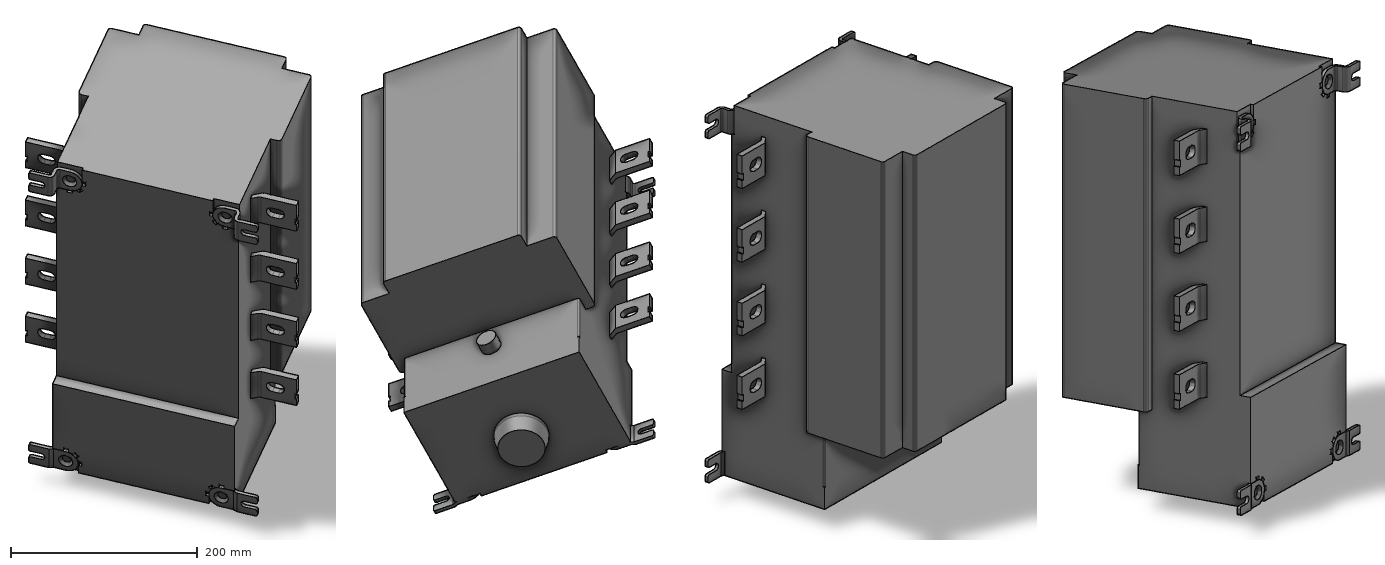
import cadquery as cq
import math


overall_width = 306.0
overall_depth = 246.5
overall_height = 469.0
knob_height = 23.5
housing_height = overall_height - knob_height

core_half_width = 102.5
wing_half_width = 114.5
crown_half_width = 80.5
core_front_y = 15.5
wing_front_y = 124.0
wing_back_y = 229.5
wing_bottom_z = 92.0
base_front_y = 2.5
base_back_y = 141.0
base_top_z = 125.5
cover_height = 26.5
wing_front_radius = 4.0
rear_edge_radius = 3.5
base_edge_radius = 2.0

terminal_thickness = 7.0
terminal_height = 39.0
terminal_front_y = 61.5
terminal_bend_x = 111.0
terminal_bend_angle = 33
terminal_bend_radius = 5.5
terminal_embed = 4.5
terminal_count = 4
terminal_pitch = 87.95
first_terminal_z = 136.5
terminal_slot_x = 129.0
terminal_slot_length = 20.0
terminal_slot_height = 13.5
notch_depth = 2.0
notch_height = 7.5
notch_drop = 6.0

foot_thickness = 4.0
foot_width = 28.0
foot_stand_proud = 0.5
foot_end_x = 129.0
foot_corner_radius = 2.5
foot_slot_end_x = 110.5
foot_slot_width = 8.5
screw_x = 87.5
screw_radius = 5.0
countersink_radius = 8.0
leg_inner_x = 101.5
plate_bend_radius = 3.0
lug_bend_radius = 2.0
jog_outer_x = 106.0
upper_foot_z = 425.0
lower_foot_z = foot_width / 2

tooth_width = 5.5
tooth_reach = 18.0

knob_y = 62.5
knob_radius = 29.5
knob_tip_radius = 25.5
knob_collar = 4.5
button_z = 59.5
button_radius = 11.3
button_length = 14.0


def box(x_min, x_max, y_min, y_max, z_min, z_max):
    size = (x_max - x_min, y_max - y_min, z_max - z_min)
    return cq.Workplane("XY").box(*size, centered=False).translate((x_min, y_min, z_min))


def centred_box(half_width, y_min, y_max, z_min, z_max):
    return box(-half_width, half_width, y_min, y_max, z_min, z_max)


def both_sides(shape):
    return shape.union(shape.mirror("YZ"))


def make_housing():
    core = centred_box(core_half_width, core_front_y, wing_back_y, wing_bottom_z, housing_height)
    wings = centred_box(wing_half_width, wing_front_y, wing_back_y, wing_bottom_z, housing_height)
    wings = wings.edges("|Z and <Y").fillet(wing_front_radius)
    wings = wings.edges("|Z and >Y").fillet(rear_edge_radius)
    crown = centred_box(crown_half_width, wing_front_y, overall_depth, wing_bottom_z, housing_height)
    crown = crown.edges("|Z and >Y").fillet(rear_edge_radius)
    base = centred_box(core_half_width, base_front_y, base_back_y, cover_height, base_top_z)
    base = base.edges("|Z and >Y").fillet(base_edge_radius)
    cover = centred_box(core_half_width, base_front_y, base_back_y, 0, cover_height)
    return core.union(wings).union(crown).union(base).union(cover)


def make_terminal():
    """Right-hand terminal centred on Z = 0, bent forward where it enters the housing."""
    half_height = terminal_height / 2
    end_x = overall_width / 2
    back_y = terminal_front_y + terminal_thickness
    root_x = core_half_width - terminal_embed
    angle = math.radians(terminal_bend_angle)
    drop = (terminal_bend_x - root_x) * math.tan(angle)
    back_bend_x = terminal_bend_x + terminal_thickness * math.tan(angle / 2)
    back_drop = (back_bend_x - root_x) * math.tan(angle)
    outline = [
        (end_x, terminal_front_y),
        (terminal_bend_x, terminal_front_y),
        (root_x, terminal_front_y - drop),
        (root_x, back_y - back_drop),
        (back_bend_x, back_y),
        (end_x, back_y),
    ]
    bar = cq.Workplane("XY").polyline(outline).close().extrude(half_height, both=True)
    front_bend = cq.selectors.NearestToPointSelector((terminal_bend_x, terminal_front_y, 0))
    bar = bar.edges(front_bend).fillet(terminal_bend_radius)
    slot = (
        cq.Workplane("XZ")
        .center(terminal_slot_x, 0)
        .slot2D(terminal_slot_length, terminal_slot_height)
        .extrude(-overall_depth)
    )
    notch = box(
        end_x - notch_depth, end_x, 0, overall_depth,
        -notch_drop - notch_height / 2, -notch_drop + notch_height / 2,
    )
    return bar.cut(slot).cut(notch)


def foot_plan():
    """Front outline of the right-hand foot around Z = 0, with its open screw slot."""
    round_end = cq.Workplane("XZ").center(screw_x, 0).circle(foot_width / 2).extrude(-overall_depth)
    arm = box(screw_x, foot_end_x, 0, overall_depth, -foot_width / 2, foot_width / 2)
    slot_radius = foot_slot_width / 2
    slot_centre_x = foot_slot_end_x + slot_radius
    slot = box(slot_centre_x, foot_end_x, 0, overall_depth, -slot_radius, slot_radius)
    arm = arm.cut(slot).edges("|Y and >X").fillet(foot_corner_radius)
    slot_end = cq.Workplane("XZ").center(slot_centre_x, 0).circle(slot_radius).extrude(-overall_depth)
    return round_end.union(arm).cut(slot_end)


def make_foot(profile, plate_y):
    """Foot cut from a bent strip, with a countersunk screw hole in its plate."""
    cone = cq.Solid.makeCone(
        countersink_radius, screw_radius, foot_thickness,
        cq.Vector(screw_x, plate_y, 0), cq.Vector(0, 1, 0),
    )
    return profile.intersect(foot_plan()).cut(cq.Workplane(cone))


def strip(points):
    return cq.Workplane("XY").polyline(points).close().extrude(foot_width / 2, both=True)


def make_upper_foot():
    """Z-bent foot that steps from the core front down to the mounting plane."""
    plate_end_x = screw_x - foot_width / 2
    plate_y = core_front_y - foot_stand_proud
    leg_outer_x = leg_inner_x + foot_thickness
    profile = strip([
        (plate_end_x, plate_y),
        (leg_inner_x, plate_y),
        (leg_inner_x, 0),
        (foot_end_x, 0),
        (foot_end_x, foot_thickness),
        (leg_outer_x, foot_thickness),
        (leg_outer_x, plate_y + foot_thickness),
        (plate_end_x, plate_y + foot_thickness),
    ])
    bends = [
        (leg_inner_x, plate_y, plate_bend_radius),
        (leg_inner_x, 0, lug_bend_radius + foot_thickness),
        (leg_outer_x, foot_thickness, lug_bend_radius),
        (leg_outer_x, plate_y + foot_thickness, plate_bend_radius + foot_thickness),
    ]
    for x, y, radius in bends:
        profile = profile.edges(cq.selectors.NearestToPointSelector((x, y, 0))).fillet(radius)
    return make_foot(profile, plate_y)


def make_lower_foot():
    """Nearly flat foot with a slight jog from the base front to the mounting plane."""
    plate_end_x = screw_x - foot_width / 2
    plate_y = base_front_y - foot_stand_proud
    front = [(plate_end_x, plate_y), (leg_inner_x, plate_y), (jog_outer_x, 0), (foot_end_x, 0)]
    back = [(x, y + foot_thickness) for x, y in reversed(front)]
    return make_foot(strip(front + back), plate_y)


def make_recess(front_y, edge_z):
    """Corner recess around a screw at Z = 0, open at the side and towards edge_z."""
    depth = foot_thickness - foot_stand_proud
    back_y = front_y + depth
    radius = foot_width / 2
    outward = math.copysign(1, edge_z)
    z_mouth = sorted((0, edge_z))
    z_band = sorted((-outward * radius, edge_z))
    recess = box(screw_x - radius, core_half_width, front_y, back_y, *z_mouth)
    recess = recess.union(box(screw_x, core_half_width, front_y, back_y, *z_band))
    disc = cq.Workplane("XZ").circle(radius).extrude(-depth).translate((screw_x, front_y, 0))
    recess = recess.union(disc)
    for angle in (0, 45, 90):
        tooth = box(-tooth_reach, 0, front_y, back_y, -tooth_width / 2, tooth_width / 2)
        tooth = tooth.rotate((0, 0, 0), (0, 1, 0), -outward * angle)
        recess = recess.union(tooth.translate((screw_x, 0, 0)))
    return recess


def make_knob():
    return (
        cq.Workplane("XZ")
        .polyline([
            (0, 0),
            (knob_radius, 0),
            (knob_radius, -knob_collar),
            (knob_tip_radius, -knob_height),
            (0, -knob_height),
        ])
        .close()
        .revolve(360, (0, 0, 0), (0, 1, 0))
        .translate((0, knob_y, 0))
    )


def make_button():
    button = cq.Workplane("XZ").circle(button_radius).extrude(-button_length)
    return button.translate((0, base_back_y, button_z))


housing = make_housing()

upper_recess = make_recess(core_front_y, housing_height - upper_foot_z)
lower_recess = make_recess(base_front_y, -lower_foot_z)
result = housing.cut(both_sides(upper_recess.translate((0, 0, upper_foot_z))))
result = result.cut(both_sides(lower_recess.translate((0, 0, lower_foot_z))))

result = result.union(both_sides(make_upper_foot().translate((0, 0, upper_foot_z))))
result = result.union(both_sides(make_lower_foot().translate((0, 0, lower_foot_z))))

terminal_pair = both_sides(make_terminal())
for index in range(terminal_count):
    terminal_z = first_terminal_z + index * terminal_pitch
    result = result.union(terminal_pair.translate((0, 0, terminal_z)))

result = result.union(make_knob()).union(make_button())